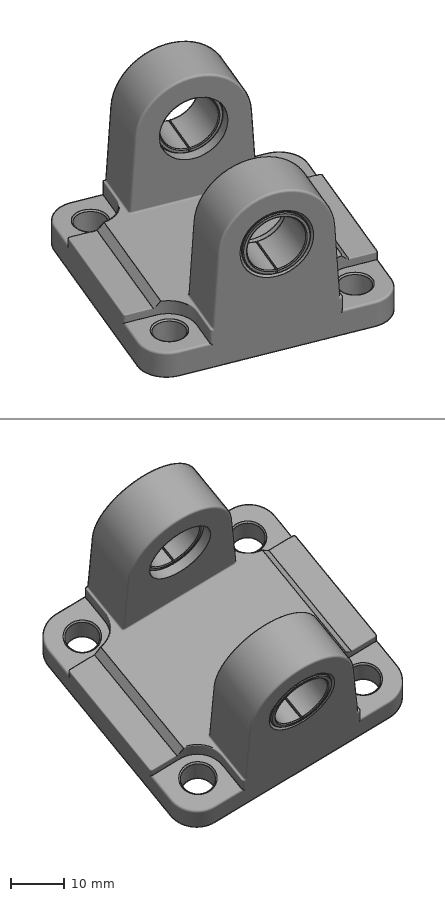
import cadquery as cq
import math

side = 52.0
half = side / 2
corner_radius = 6.0
pad_height = 5.6
sill_height = 7.4
deck_height = 8.85
sill_depth = 6.0
outline_round = 0.45
step_round = 0.2

hole_offset = 19.0
hole_diameter = 6.6
hole_chamfer = 0.3
pad_radius = 5.8
pad_wall = 13.55

lug_thickness = 12.0
lug_radius = 12.0
lug_draft = 3.5
lug_root_round = 0.3
lug_inner = half - lug_thickness
total_height = 37.0
axis_height = total_height - lug_radius

seat_diameter = 14.0
seat_radius = seat_diameter / 2
seat_chamfer = 0.5
bush_bore = 12.0
bush_length = 10.0
bush_chamfer = 0.2
bush_slit = 0.3

tolerance = 0.01


def is_outline_edge(edge):
    """True for the upper edges around the pads, the lugs and the end faces."""
    center = edge.Center()
    x, y, z = abs(center.x), abs(center.y), center.z
    on_pad_corner = min(x, y) > half - corner_radius and abs(z - pad_height) < tolerance
    on_side_face = y > half - tolerance and pad_height - tolerance < z < sill_height - tolerance
    on_end_face = x > half - tolerance and z > pad_height - tolerance
    on_lug_face = abs(x - lug_inner) < tolerance and z > deck_height + tolerance
    return on_pad_corner or on_side_face or on_end_face or on_lug_face


def is_step_edge(edge):
    """True for the deck and sill edges above the pads."""
    center = edge.Center()
    x, y, z = abs(center.x), abs(center.y), center.z
    on_deck = abs(z - deck_height) < tolerance and min(x, y) > pad_wall - tolerance
    on_sill_end = abs(x - pad_wall) < tolerance and z > sill_height - tolerance
    return on_deck or on_sill_end


def is_lug_root(edge):
    """True for the edges where a lug meets the deck, except on the end faces."""
    center = edge.Center()
    x, y = abs(center.x), abs(center.y)
    beside_lug = lug_inner - tolerance < x < half - outline_round and y < pad_wall - tolerance
    return beside_lug and abs(center.z - deck_height) < tolerance


def make_base():
    """Rounded plate with two lower sills and four lower corner pads."""
    base = (
        cq.Workplane("XY")
        .rect(side, side)
        .extrude(deck_height)
        .edges("|Z")
        .fillet(corner_radius)
    )
    slope = deck_height - sill_height
    sill_start = half - sill_depth
    for direction in (-1, 1):
        sill_cut = (
            cq.Workplane("YZ")
            .moveTo(direction * (sill_start - slope), deck_height)
            .lineTo(direction * sill_start, sill_height)
            .lineTo(direction * side, sill_height)
            .lineTo(direction * side, deck_height)
            .close()
            .extrude(half, both=True)
        )
        base = base.cut(sill_cut)
    pad_size = side - pad_wall
    pad_cut = (
        cq.Workplane("XY", origin=(0, 0, pad_height))
        .rect(pad_size, pad_size)
        .extrude(deck_height)
        .edges("|Z and <X and <Y")
        .fillet(pad_radius)
        .translate((pad_wall + pad_size / 2, pad_wall + pad_size / 2, 0))
    )
    for turn in (0, 90, 180, 270):
        base = base.cut(pad_cut.rotate((0, 0, 0), (0, 0, 1), turn))
    return base


def make_lug():
    """Drafted lug at the +X end with a round head."""
    draft = math.radians(lug_draft)
    tangent_y = lug_radius * math.cos(draft)
    tangent_z = axis_height + lug_radius * math.sin(draft)
    foot_y = tangent_y + (tangent_z - pad_height) * math.tan(draft)
    return (
        cq.Workplane("YZ", origin=(lug_inner, 0, 0))
        .moveTo(-foot_y, pad_height)
        .lineTo(-tangent_y, tangent_z)
        .threePointArc((0, axis_height + lug_radius), (tangent_y, tangent_z))
        .lineTo(foot_y, pad_height)
        .close()
        .extrude(lug_thickness)
    )


def make_bush():
    """Slit bushing in the +X lug, flush with its outer face."""
    start = half - bush_length
    bore_radius = bush_bore / 2
    ring = (
        cq.Workplane("XZ")
        .moveTo(start, -bore_radius - bush_chamfer)
        .lineTo(start + bush_chamfer, -bore_radius)
        .lineTo(half - bush_chamfer, -bore_radius)
        .lineTo(half, -bore_radius - bush_chamfer)
        .lineTo(half, -seat_radius + bush_chamfer)
        .lineTo(half - bush_chamfer, -seat_radius)
        .lineTo(start + bush_chamfer, -seat_radius)
        .lineTo(start, -seat_radius + bush_chamfer)
        .close()
        .revolve(360, (0, 0, 0), (1, 0, 0))
    )
    slit = cq.Workplane("XY").box(side, bush_slit, seat_radius, centered=(False, True, False))
    return ring.cut(slit.translate((0, 0, -seat_radius))).translate((0, 0, axis_height))


lug = make_lug()
body = make_base().union(lug).union(lug.mirror("YZ"))
body = body.newObject(body.edges().filter(is_outline_edge).vals()).fillet(outline_round)
body = body.newObject(body.edges().filter(is_step_edge).vals()).fillet(step_round)
body = body.newObject(body.edges().filter(is_lug_root).vals()).fillet(lug_root_round)

hole_rim_radius = hole_diameter / 2 + hole_chamfer
hole_cutter = (
    cq.Workplane("XZ")
    .lineTo(hole_diameter / 2, 0)
    .lineTo(hole_diameter / 2, pad_height - hole_chamfer)
    .lineTo(hole_rim_radius, pad_height)
    .lineTo(0, pad_height)
    .close()
    .revolve(360, (0, 0, 0), (0, 1, 0))
)
for x in (-hole_offset, hole_offset):
    for y in (-hole_offset, hole_offset):
        body = body.cut(hole_cutter.translate((x, y, 0)))

seat_rim_radius = seat_radius + seat_chamfer
seat_cutter = (
    cq.Workplane("XY")
    .moveTo(lug_inner, 0)
    .lineTo(lug_inner, seat_radius)
    .lineTo(half - seat_chamfer, seat_radius)
    .lineTo(half, seat_rim_radius)
    .lineTo(half, 0)
    .close()
    .revolve(360, (0, 0, 0), (1, 0, 0))
    .translate((0, 0, axis_height))
)
bush = make_bush()
body = body.cut(seat_cutter).cut(seat_cutter.mirror("YZ"))
result = body.union(bush).union(bush.mirror("YZ"))